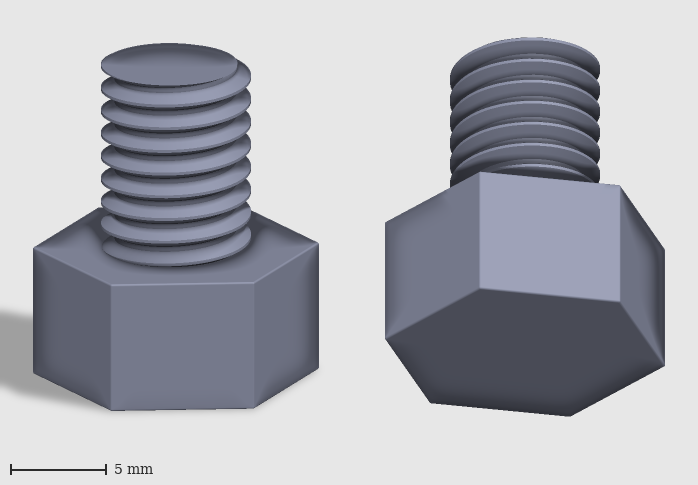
import cadquery as cq
import math

total_height = 17.0
head_height = 6.99
across_flats = 13.0
head_edge_radius = 0.1

thread_diameter = 7.87
root_diameter = 6.45
thread_length = total_height - head_height
thread_turns = 8
pitch = thread_length / thread_turns
flank_angle = math.radians(30)
crest_flat = pitch / 8
root_overlap = 0.08


def make_head():
    """Hexagonal head with corners on the X axis and every edge rounded."""
    corner_diameter = across_flats / math.cos(math.radians(30))
    head = cq.Workplane("XY").polygon(6, corner_diameter).extrude(head_height)
    return head.edges().fillet(head_edge_radius)


def make_thread_ridge():
    """Right-handed V ridge that runs one turn past both ends of the shank."""
    crest_radius = thread_diameter / 2
    base_radius = root_diameter / 2 - root_overlap
    half_crest = crest_flat / 2
    half_base = half_crest + (crest_radius - base_radius) * math.tan(flank_angle)
    profile = (
        cq.Workplane("XZ")
        .polyline([
            (base_radius, -half_base),
            (crest_radius, -half_crest),
            (crest_radius, half_crest),
            (base_radius, half_base),
        ])
        .close()
    )
    helix = cq.Wire.makeHelix(pitch, (thread_turns + 2) * pitch, base_radius)
    ridge = profile.sweep(cq.Workplane(obj=helix), isFrenet=True)
    return ridge.rotate((0, 0, 0), (0, 0, 1), -90).translate((0, 0, head_height - pitch))


def make_shank():
    """Core plus thread ridge, cut flat at the head top and at the free end."""
    core = (
        cq.Workplane("XY")
        .workplane(offset=head_height - 2 * pitch)
        .circle(root_diameter / 2)
        .extrude(thread_length + 4 * pitch)
    )
    envelope = (
        cq.Workplane("XY")
        .workplane(offset=head_height)
        .rect(across_flats, across_flats)
        .extrude(thread_length)
    )
    return core.union(make_thread_ridge()).intersect(envelope)


result = make_head().union(make_shank())